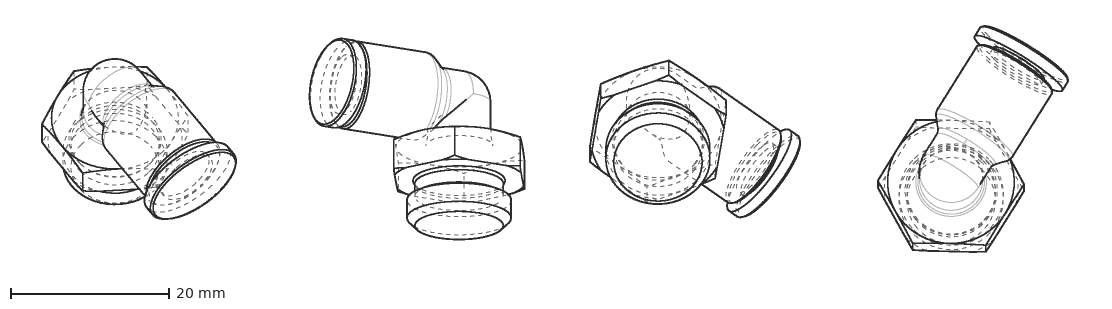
import cadquery as cq
import math

hex_across_flats = 16.0
hex_corner_radius = hex_across_flats / math.sqrt(3)
overall_length = 27.2
overall_height = 22.0
body_radius = 5.6
tube_axis_z = overall_height - body_radius
end_x = overall_length - hex_corner_radius

hex_bottom_z = 5.98
hex_top_z = 10.52
hex_top_face_radius = hex_across_flats / 2
hex_bottom_face_radius = 8.45
hex_chamfer_angle = 20

collar_radius = 6.58
collar_chamfer = 1.0
collar_top_z = 3.43
neck_bottom_z = 3.92
neck_radius = 5.6
neck_flare_radius = 5.82
neck_flare_height = 0.44

elbow_radius = 4.0
stem_flare_top_z = 11.95
stem_flare_radius = 4.21
stem_root_fillet = 0.25

shoulder_end_x = 5.8
shoulder_angle = 40
shoulder_fillet = 1.0
body_end_x = 15.63
body_edge_chamfer = 0.25

ring_thickness = 1.6
ring_start_x = end_x - ring_thickness
ring_half_width = 6.53
ring_half_height = 5.52
ring_edge_chamfer = 0.25
ring_neck_radius = 3.78


def make_threaded_end():
    """Collar and neck, revolved about Z."""
    profile = [
        (0, 0),
        (collar_radius - collar_chamfer, 0),
        (collar_radius, collar_chamfer),
        (collar_radius, collar_top_z),
        (neck_radius, neck_bottom_z),
        (neck_radius, hex_bottom_z - neck_flare_height),
        (neck_flare_radius, hex_bottom_z),
        (0, hex_bottom_z),
    ]
    return cq.Workplane("XZ").polyline(profile).close().revolve(360, (0, 0), (0, 1))


def make_hex_nut():
    """Hexagon with its corners on the X axis, cut back by a cone at each end."""
    hexagon = (
        cq.Workplane("XY", origin=(0, 0, hex_bottom_z))
        .polygon(6, 2 * hex_corner_radius)
        .extrude(hex_top_z - hex_bottom_z)
    )
    slope = math.tan(math.radians(hex_chamfer_angle))
    top_drop = (hex_corner_radius - hex_top_face_radius) * slope
    bottom_rise = (hex_corner_radius - hex_bottom_face_radius) * slope
    profile = [
        (0, hex_bottom_z),
        (hex_bottom_face_radius, hex_bottom_z),
        (hex_corner_radius, hex_bottom_z + bottom_rise),
        (hex_corner_radius, hex_top_z - top_drop),
        (hex_top_face_radius, hex_top_z),
        (0, hex_top_z),
    ]
    envelope = cq.Workplane("XZ").polyline(profile).close().revolve(360, (0, 0), (0, 1))
    return hexagon.intersect(envelope)


def make_stem():
    """Upright elbow leg with a flared foot and a small fillet onto the nut."""
    foot_z = hex_top_z + stem_root_fillet
    root_radius = stem_flare_radius + stem_root_fillet
    return (
        cq.Workplane("XZ")
        .moveTo(0, hex_top_z)
        .lineTo(root_radius, hex_top_z)
        .radiusArc((stem_flare_radius, foot_z), stem_root_fillet)
        .lineTo(elbow_radius, stem_flare_top_z)
        .lineTo(elbow_radius, tube_axis_z)
        .lineTo(0, tube_axis_z)
        .close()
        .revolve(360, (0, 0), (0, 1))
    )


def make_elbow_corner():
    """Sphere that rounds the outside of the elbow."""
    return cq.Workplane("XY").sphere(elbow_radius).translate((0, 0, tube_axis_z))


def make_socket_body():
    """Level elbow leg widening through a conical shoulder into the socket body."""
    angle = math.radians(shoulder_angle)
    cone_end_x = shoulder_end_x - shoulder_fillet * math.tan(angle / 2)
    cone_start_x = cone_end_x - (body_radius - elbow_radius) / math.tan(angle)
    profile = [
        (0, 0),
        (0, elbow_radius),
        (cone_start_x, elbow_radius),
        (cone_end_x, body_radius),
        (body_end_x, body_radius),
        (body_end_x, 0),
    ]
    body = (
        cq.Workplane("XZ", origin=(0, 0, tube_axis_z))
        .polyline(profile)
        .close()
        .revolve(360, (0, 0), (1, 0))
    )
    body = body.faces("%CONE").edges("%CIRCLE").fillet(shoulder_fillet)
    return body.faces(">X").edges().chamfer(body_edge_chamfer)


def make_release_ring():
    """Oval ring on a short round neck at the mouth of the socket."""
    neck = (
        cq.Workplane("YZ", origin=(body_end_x, 0, tube_axis_z))
        .circle(ring_neck_radius)
        .extrude(ring_start_x - body_end_x)
    )
    ring = (
        cq.Workplane("YZ", origin=(ring_start_x, 0, tube_axis_z))
        .ellipse(ring_half_width, ring_half_height)
        .extrude(ring_thickness)
        .faces(">X")
        .edges()
        .chamfer(ring_edge_chamfer)
    )
    return neck.union(ring)


result = (
    make_threaded_end()
    .union(make_hex_nut())
    .union(make_stem())
    .union(make_elbow_corner())
    .union(make_socket_body())
    .union(make_release_ring())
)